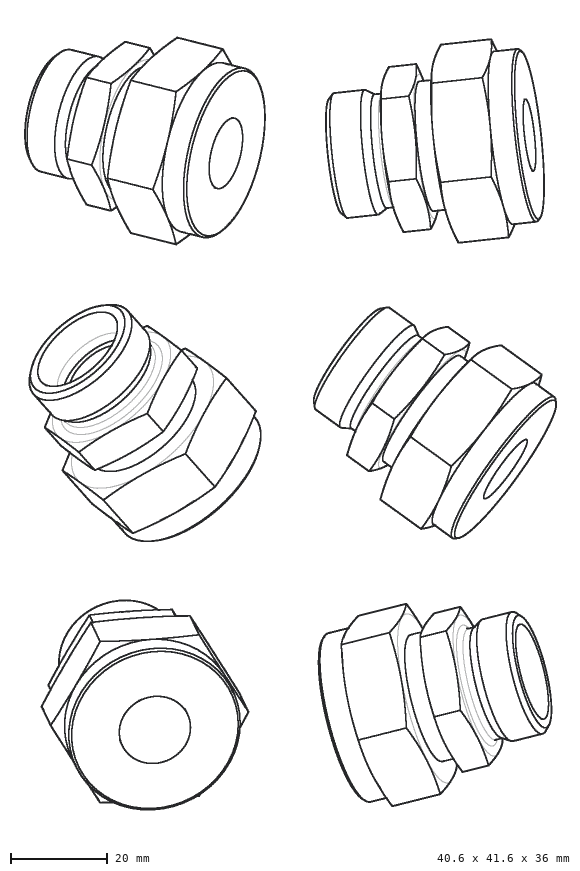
import cadquery as cq
import math

LENGTH = 40.6
THREAD_END = 7.5
GROOVE_START = 9.4
BODY_HEX_START = 12.0
BODY_HEX_END = 19.0
NUT_HEX_START = 23.1
NUT_HEX_END = 35.15

BODY_HEX_FLATS = 30.0
NUT_HEX_FLATS = 36.0
THREAD_RADIUS = 13.0
GROOVE_RADIUS = 11.85
COLLAR_RADIUS = 13.5
SLEEVE_RADIUS = NUT_HEX_FLATS / 2
THREAD_CHAMFER = 1.05
SLEEVE_CHAMFER = 0.5
GROOVE_FILLET = 1.05
HEX_CHAMFER_ANGLE = 15.0

CONE_MOUTH_RADIUS = 10.1
CONE_HALF_ANGLE = 12.0
SOCKET_RADIUS = 8.98
SOCKET_DEPTH = 7.5
BORE_RADIUS = 7.5


def revolve_about_x(profile):
    """Close a profile drawn as (x, radius) along the X axis and revolve it into a solid."""
    return profile.close().revolve(360, (0, 0, 0), (1, 0, 0))


def turned_body():
    """Threaded stub, relief groove, collar and rear sleeve as one turned solid."""
    fillet_start = BODY_HEX_START - GROOVE_FILLET
    fillet_top = GROOVE_RADIUS + GROOVE_FILLET
    fillet_mid_offset = GROOVE_FILLET * math.sqrt(0.5)
    fillet_mid = (fillet_start + fillet_mid_offset, fillet_top - fillet_mid_offset)
    profile = (
        cq.Workplane("XY")
        .moveTo(0, 0)
        .lineTo(0, THREAD_RADIUS - THREAD_CHAMFER)
        .lineTo(THREAD_CHAMFER, THREAD_RADIUS)
        .lineTo(THREAD_END, THREAD_RADIUS)
        .lineTo(GROOVE_START, GROOVE_RADIUS)
        .lineTo(fillet_start, GROOVE_RADIUS)
        .threePointArc(fillet_mid, (BODY_HEX_START, fillet_top))
        .lineTo(BODY_HEX_START, COLLAR_RADIUS)
        .lineTo(NUT_HEX_START, COLLAR_RADIUS)
        .lineTo(NUT_HEX_START, SLEEVE_RADIUS)
        .lineTo(LENGTH - SLEEVE_CHAMFER, SLEEVE_RADIUS)
        .lineTo(LENGTH, SLEEVE_RADIUS - SLEEVE_CHAMFER)
        .lineTo(LENGTH, 0)
    )
    return revolve_about_x(profile)


def chamfered_hex(start, end, flats):
    """Hexagon along X with corners on +Y and -Y, both ends turned to a shallow cone."""
    flat_radius = flats / 2
    corner_radius = flat_radius / math.cos(math.radians(30))
    chamfer_depth = (corner_radius - flat_radius) * math.tan(math.radians(HEX_CHAMFER_ANGLE))
    prism = (
        cq.Workplane("YZ", origin=(start, 0, 0))
        .polygon(6, 2 * corner_radius)
        .extrude(end - start)
    )
    envelope = (
        cq.Workplane("XY")
        .moveTo(start, 0)
        .lineTo(start, flat_radius)
        .lineTo(start + chamfer_depth, corner_radius)
        .lineTo(end - chamfer_depth, corner_radius)
        .lineTo(end, flat_radius)
        .lineTo(end, 0)
    )
    return prism.intersect(revolve_about_x(envelope))


def bore():
    """Entry cone, tube socket and through hole, to be cut from the body."""
    cone_depth = (CONE_MOUTH_RADIUS - SOCKET_RADIUS) / math.tan(math.radians(CONE_HALF_ANGLE))
    profile = (
        cq.Workplane("XY")
        .moveTo(0, 0)
        .lineTo(0, CONE_MOUTH_RADIUS)
        .lineTo(cone_depth, SOCKET_RADIUS)
        .lineTo(SOCKET_DEPTH, SOCKET_RADIUS)
        .lineTo(SOCKET_DEPTH, BORE_RADIUS)
        .lineTo(LENGTH, BORE_RADIUS)
        .lineTo(LENGTH, 0)
    )
    return revolve_about_x(profile)


body_hex = chamfered_hex(BODY_HEX_START, BODY_HEX_END, BODY_HEX_FLATS)
nut_hex = chamfered_hex(NUT_HEX_START, NUT_HEX_END, NUT_HEX_FLATS)
result = turned_body().union(body_hex).union(nut_hex).cut(bore())